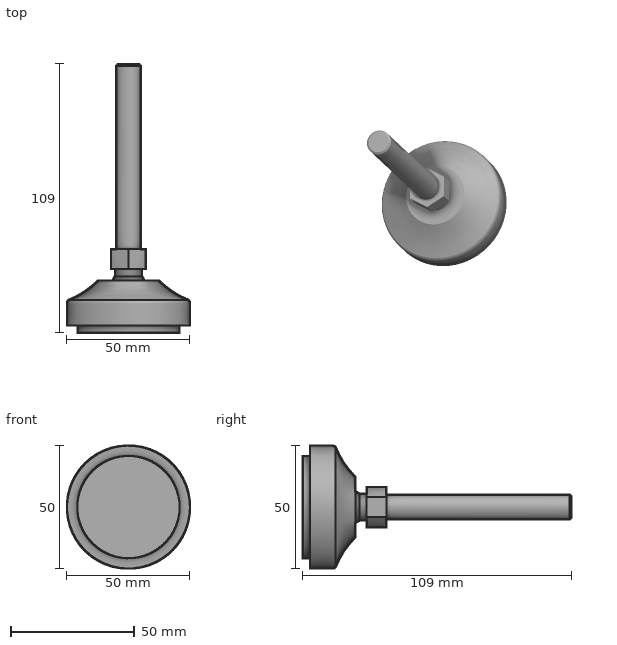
import cadquery as cq
import math

total_length = 109.0

sole_radius = 41.5 / 2
sole_height = 2.9
foot_radius = 50.0 / 2
rim_top = 11.8
shoulder_radius = 24.3
shoulder_top = 13.4
crown_radius = 12.2
crown_top = 21.4
cone_sag = 0.8

neck_radius = 11.0 / 2
flare_radius = 6.4
flare_top = 23.0

hex_bottom = 25.9
hex_top = 34.0
hex_across_flats = 14.2
stud_radius = 10.0 / 2
stud_chamfer = 0.8


def make_foot_and_neck():
    """Revolve the half profile of the sole, rim, hollow cone and flared neck."""
    run = shoulder_radius - crown_radius
    rise = crown_top - shoulder_top
    chord = math.hypot(run, rise)
    cone_middle = (
        (shoulder_radius + crown_radius) / 2 - cone_sag * rise / chord,
        (shoulder_top + crown_top) / 2 - cone_sag * run / chord,
    )
    return (
        cq.Workplane("XY")
        .moveTo(0, 0)
        .lineTo(sole_radius, 0)
        .lineTo(sole_radius, sole_height)
        .lineTo(foot_radius, sole_height)
        .lineTo(foot_radius, rim_top)
        .tangentArcPoint((shoulder_radius, shoulder_top), relative=False)
        .threePointArc(cone_middle, (crown_radius, crown_top))
        .lineTo(flare_radius, crown_top)
        .lineTo(neck_radius, flare_top)
        .lineTo(neck_radius, hex_bottom)
        .lineTo(0, hex_bottom)
        .close()
        .revolve(360, (0, 0, 0), (0, 1, 0))
    )


def make_hexagon():
    """Extrude the wrench hexagon, with flats facing X and corners on Z."""
    corner_radius = hex_across_flats / math.sqrt(3)
    corner_angles = [math.radians(90 + 60 * i) for i in range(6)]
    corners = [(corner_radius * math.cos(a), corner_radius * math.sin(a)) for a in corner_angles]
    return (
        cq.Workplane("XZ", origin=(0, hex_bottom, 0))
        .polyline(corners)
        .close()
        .extrude(hex_bottom - hex_top)
    )


def make_stud():
    """Extrude the plain stud and chamfer its free end."""
    return (
        cq.Workplane("XZ", origin=(0, hex_top, 0))
        .circle(stud_radius)
        .extrude(hex_top - total_length)
        .faces(">Y")
        .chamfer(stud_chamfer)
    )


result = make_foot_and_neck().union(make_hexagon()).union(make_stud())